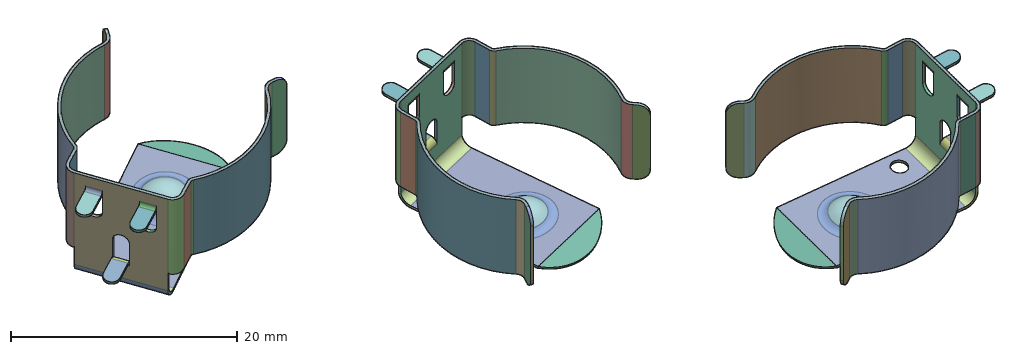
import cadquery as cq
import math

sheet = 0.3
arm_height = 9.52
plate_width = 8.9
arm_span = 18.85
arm_radius = arm_span / 2
arm_center_y = 10.52

neck_half_width = 5.55
corner_radius = neck_half_width - plate_width / 2
neck_bend_radius = 0.34
lip_bend_radius = 0.85
lip_angle = 33.5
lip_length = 1.6
lip_corner_radius = 1.27

leaf_bend_radius = 1.3
leaf_drop = 3.48
leaf_slope = 5.0
leaf_kink_y = 15.57
tongue_slope = 15.0
tongue_length = 2.31
leaf_hole_diameter = 1.63
leaf_hole_x = 2.85
leaf_hole_y = 3.25

dome_rim_radius = 3.1
dome_cap_radius = 2.2
dome_height = 1.34

tab_width = 1.6
tab_reach = 3.05
tab_bend_radius = 0.34
tab_spacing = 2.57
window_length = 3.58
upper_window_edge = 8.23
lower_window_edge = -tab_bend_radius


def polar(center, radius, degrees):
    """Point on a circle around a 2D center."""
    angle = math.radians(degrees)
    return (center[0] + radius * math.cos(angle), center[1] + radius * math.sin(angle))


def make_arm():
    """Right-hand arm: half of the plate, corner, neck, round arm and outward lip."""
    arm_center = (0, arm_center_y)
    corner_center = (plate_width / 2, corner_radius)

    neck_bend_x = neck_half_width + neck_bend_radius
    neck_bend_reach = arm_radius + neck_bend_radius
    neck_bend_drop = math.sqrt(neck_bend_reach ** 2 - neck_bend_x ** 2)
    neck_center = (neck_bend_x, arm_center_y - neck_bend_drop)
    neck_angle = math.degrees(math.atan2(-neck_bend_drop, neck_bend_x))
    neck_middle = 180 + neck_angle / 2

    lip_center = polar(arm_center, arm_radius + lip_bend_radius, lip_angle)
    lip_start_angle = 180 - lip_angle
    lip_direction = 90 - lip_angle

    corner_inner = corner_radius - sheet
    neck_inner = neck_bend_radius + sheet
    arm_inner = arm_radius - sheet
    lip_inner = lip_bend_radius + sheet
    lip_end_outer = polar(polar(lip_center, lip_bend_radius, lip_start_angle), lip_length, lip_direction)
    lip_end_inner = polar(polar(lip_center, lip_inner, lip_start_angle), lip_length, lip_direction)

    arm = (
        cq.Workplane("XY")
        .moveTo(0, 0)
        .lineTo(plate_width / 2, 0)
        .threePointArc(polar(corner_center, corner_radius, -45), polar(corner_center, corner_radius, 0))
        .lineTo(neck_half_width, neck_center[1])
        .threePointArc(
            polar(neck_center, neck_bend_radius, neck_middle),
            polar(neck_center, neck_bend_radius, 180 + neck_angle),
        )
        .threePointArc(polar(arm_center, arm_radius, 0), polar(arm_center, arm_radius, lip_angle))
        .threePointArc(
            polar(lip_center, lip_bend_radius, 180),
            polar(lip_center, lip_bend_radius, lip_start_angle),
        )
        .lineTo(*lip_end_outer)
        .lineTo(*lip_end_inner)
        .lineTo(*polar(lip_center, lip_inner, lip_start_angle))
        .threePointArc(polar(lip_center, lip_inner, 180), polar(lip_center, lip_inner, 180 + lip_angle))
        .threePointArc(polar(arm_center, arm_inner, 0), polar(arm_center, arm_inner, neck_angle))
        .threePointArc(
            polar(neck_center, neck_inner, neck_middle),
            polar(neck_center, neck_inner, 180),
        )
        .lineTo(*polar(corner_center, corner_inner, 0))
        .threePointArc(polar(corner_center, corner_inner, -45), polar(corner_center, corner_inner, -90))
        .lineTo(0, sheet)
        .close()
        .extrude(arm_height)
    )
    lip_end_middle = tuple((a + b) / 2 for a, b in zip(lip_end_outer, lip_end_inner))
    for z in (0, arm_height):
        corner_edge = cq.selectors.NearestToPointSelector((*lip_end_middle, z))
        arm = arm.edges(corner_edge).fillet(lip_corner_radius)
    return arm


def make_leaf():
    """Lower plate, bend, sloping leaf and downturned tongue, swept across the plate width."""
    slope = math.radians(leaf_slope)
    bend_center = (leaf_bend_radius, leaf_bend_radius - leaf_drop)
    bend_inner = leaf_bend_radius - sheet
    leaf_end = leaf_slope - 90
    bend_middle = (leaf_end - 180) / 2

    upper_start = polar(bend_center, bend_inner, leaf_end)
    kink_top = (leaf_kink_y, upper_start[1] + (leaf_kink_y - upper_start[0]) * math.tan(slope))
    miter = sheet / math.cos(math.radians((leaf_slope + tongue_slope) / 2))
    kink_bottom = polar(kink_top, miter, -90 + (leaf_slope - tongue_slope) / 2)
    tip_top = polar(kink_top, tongue_length, -tongue_slope)
    tip_bottom = polar(tip_top, sheet, -90 - tongue_slope)

    leaf = (
        cq.Workplane("YZ")
        .moveTo(0, arm_height)
        .lineTo(0, bend_center[1])
        .threePointArc(
            polar(bend_center, leaf_bend_radius, bend_middle),
            polar(bend_center, leaf_bend_radius, leaf_end),
        )
        .lineTo(*kink_bottom)
        .lineTo(*tip_bottom)
        .lineTo(*tip_top)
        .lineTo(*kink_top)
        .lineTo(*upper_start)
        .threePointArc(
            polar(bend_center, bend_inner, bend_middle),
            polar(bend_center, bend_inner, 180),
        )
        .lineTo(sheet, arm_height)
        .close()
        .extrude(plate_width / 2, both=True)
    )
    leaf = round_tongue(leaf, kink_top)

    hole = (
        cq.Workplane("XY", origin=(leaf_hole_x, leaf_hole_y, -leaf_drop))
        .circle(leaf_hole_diameter / 2)
        .extrude(leaf_drop)
    )
    leaf = leaf.cut(hole)

    dome_z = upper_start[1] + (arm_center_y - upper_start[0]) * math.tan(slope)
    return add_dome(leaf, dome_z)


def round_tongue(leaf, kink_top):
    """Trim the tongue to an arc running from one kink corner to the other, square to its face."""
    tongue_plane = cq.Plane(
        origin=(0, kink_top[0], kink_top[1]),
        xDir=(1, 0, 0),
        normal=(0, math.sin(math.radians(tongue_slope)), math.cos(math.radians(tongue_slope))),
    )
    half = plate_width / 2
    waste = (
        cq.Workplane(tongue_plane)
        .moveTo(-half, 0)
        .threePointArc((0, tongue_length), (half, 0))
        .lineTo(half, 2 * tongue_length)
        .lineTo(-half, 2 * tongue_length)
        .close()
        .extrude(2 * sheet, both=True)
    )
    return leaf.cut(waste)


def dome_solid(base_z, cap_radius, rim_radius, wall_angle):
    """Revolved dome: spherical cap blending through a concave rim to a flat at base_z."""
    rim_reach = (cap_radius + rim_radius) * math.sin(wall_angle)
    rim_center = (rim_reach, base_z + rim_radius)
    cap_center = (0, rim_center[1] - (cap_radius + rim_radius) * math.cos(wall_angle))
    wall_degrees = math.degrees(wall_angle)
    floor_z = -2 * sheet
    return (
        cq.Workplane("XY")
        .moveTo(0, floor_z)
        .lineTo(rim_reach, floor_z)
        .lineTo(rim_reach, base_z)
        .threePointArc(
            polar(rim_center, rim_radius, 270 - wall_degrees / 2),
            polar(rim_center, rim_radius, 270 - wall_degrees),
        )
        .threePointArc(
            polar(cap_center, cap_radius, 90 - wall_degrees / 2),
            polar(cap_center, cap_radius, 90),
        )
        .close()
        .revolve(360, (0, 0), (0, 1))
        .rotate((0, 0, 0), (1, 0, 0), 90)
    )


def add_dome(leaf, dome_z):
    """Press a hollow dome of constant sheet thickness up out of the leaf."""
    wall_angle = 2 * math.atan(dome_height / dome_rim_radius)
    cap_radius = dome_cap_radius / math.sin(wall_angle)
    rim_radius = (dome_rim_radius - dome_cap_radius) / math.sin(wall_angle)

    outside = dome_solid(0, cap_radius, rim_radius, wall_angle)
    inside = dome_solid(-sheet, cap_radius - sheet, rim_radius + sheet, wall_angle)
    below_sheet = cq.Workplane("XY").workplane(offset=-sheet).circle(dome_rim_radius).extrude(-2 * sheet)
    outside = outside.cut(below_sheet)

    def place(body):
        return body.rotate((0, 0, 0), (1, 0, 0), leaf_slope).translate((0, arm_center_y, dome_z))

    return leaf.union(place(outside)).cut(place(inside))


def make_window(x, edge_z, direction):
    """Cutter with one square end at edge_z and a round end toward the given Z direction."""
    half = tab_width / 2
    shoulder_z = edge_z + direction * (window_length - half)
    return (
        cq.Workplane("XZ")
        .moveTo(x - half, edge_z)
        .lineTo(x - half, shoulder_z)
        .threePointArc((x, edge_z + direction * window_length), (x + half, shoulder_z))
        .lineTo(x + half, edge_z)
        .close()
        .extrude(-sheet)
    )


def make_tab(x, edge_z, direction):
    """Tab bent outward from the square end of a window, with a round free end."""
    inner = tab_bend_radius
    outer = tab_bend_radius + sheet
    bend_center = (-inner, 0)
    tab = (
        cq.Workplane("YZ")
        .moveTo(0, 0)
        .threePointArc(polar(bend_center, inner, 45), polar(bend_center, inner, 90))
        .lineTo(-tab_reach, inner)
        .lineTo(-tab_reach, outer)
        .lineTo(-inner, outer)
        .threePointArc(polar(bend_center, outer, 45), polar(bend_center, outer, 0))
        .close()
        .extrude(tab_width / 2, both=True)
    )
    half = tab_width / 2
    outline = (
        cq.Workplane("XY")
        .moveTo(-half, sheet)
        .lineTo(-half, half - tab_reach)
        .threePointArc((0, -tab_reach), (half, half - tab_reach))
        .lineTo(half, sheet)
        .close()
        .extrude(outer)
    )
    tab = tab.intersect(outline)
    if direction < 0:
        tab = tab.mirror("XY")
    return tab.translate((x, 0, edge_z))


arm = make_arm()
result = make_leaf().union(arm).union(arm.mirror("YZ"))

tabs = [
    (-tab_spacing, upper_window_edge, -1),
    (tab_spacing, upper_window_edge, -1),
    (0, lower_window_edge, 1),
]
for tab in tabs:
    result = result.cut(make_window(*tab)).union(make_tab(*tab))